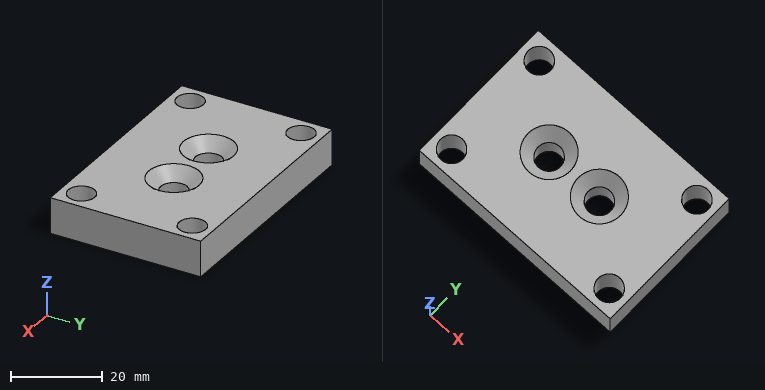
import cadquery as cq

length = 57.0
width = 38.0
thickness = 9.0

hole_diameter = 6.6
corner_spacing_x = 47.0
corner_spacing_y = 28.0
center_spacing = 15.0

countersink_diameter = 12.65
countersink_angle = 90.0


def make_plate():
    """Plain plate centred on the origin in X and Y, resting on Z = 0."""
    return cq.Workplane("XY").box(length, width, thickness, centered=(True, True, False))


def drill_corner_holes(plate):
    """Four plain through holes on a rectangle."""
    return (
        plate.faces(">Z").workplane(origin=(0, 0, thickness))
        .rect(corner_spacing_x, corner_spacing_y, forConstruction=True)
        .vertices()
        .hole(hole_diameter)
    )


def drill_center_holes(plate):
    """Two countersunk through holes side by side along X."""
    return (
        plate.faces(">Z").workplane(origin=(0, 0, thickness))
        .rarray(center_spacing, 0.55, 2, 1)
        .cskHole(hole_diameter, countersink_diameter, countersink_angle)
    )


result = drill_center_holes(drill_corner_holes(make_plate()))